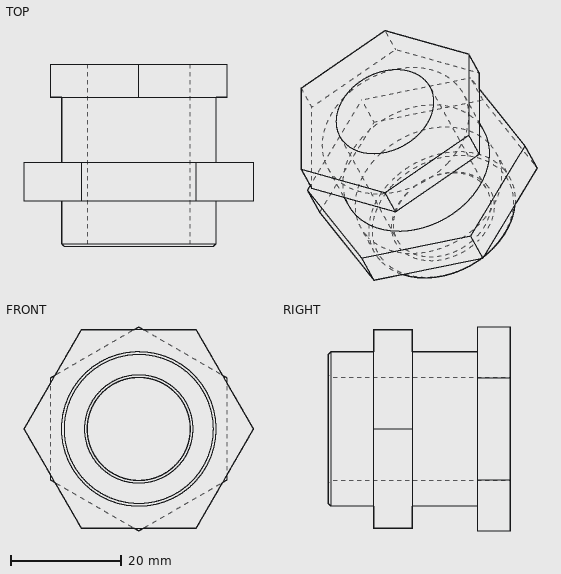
import cadquery as cq
import math

total_length = 33.0
front_collar_length = 8.25
nut_thickness = 7.0
head_thickness = 6.0

body_diameter = 28.0
bore_diameter = 18.63
nut_across_flats = 36.0
head_across_flats = 32.0

front_chamfer = 0.5

hexagon_sides = 6
half_side_angle = 180 / hexagon_sides


def section_at(y):
    """Workplane across the part axis at the given y, extruding toward +Y."""
    return cq.Workplane("XZ", origin=(0, y, 0)).transformed(rotate=(180, 0, 0))


def hexagon(across_flats, start, thickness, turn=0.0):
    """Hexagonal prism along Y, turned about the Y axis by the given angle."""
    across_corners = across_flats / math.cos(math.radians(half_side_angle))
    prism = section_at(start).polygon(hexagon_sides, across_corners).extrude(thickness)
    return prism.rotate((0, 0, 0), (0, 1, 0), turn)


def sleeve():
    """Round tube with both edges of its front end face chamfered."""
    barrel = section_at(0).circle(body_diameter / 2).circle(bore_diameter / 2).extrude(total_length)
    return barrel.faces("<Y").chamfer(front_chamfer)


def bore():
    """Cylinder that clears the through bore."""
    return section_at(0).circle(bore_diameter / 2).extrude(total_length)


nut = hexagon(nut_across_flats, front_collar_length, nut_thickness)
head = hexagon(head_across_flats, total_length - head_thickness, head_thickness, turn=half_side_angle)

result = nut.union(head).cut(bore()).union(sleeve())